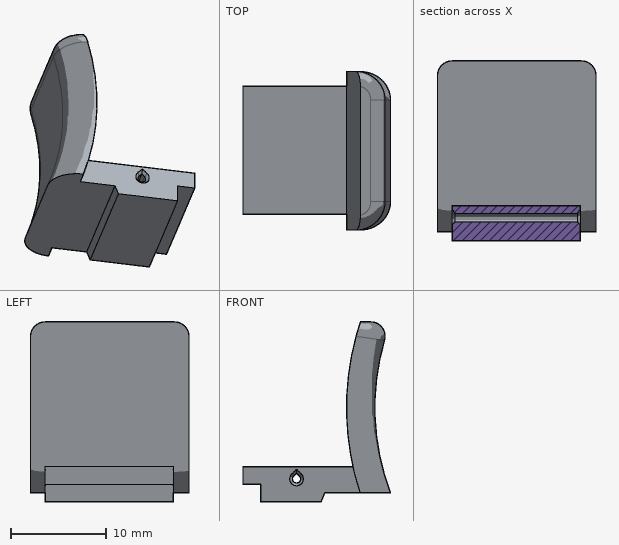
import cadquery as cq
import math

base_width = 13.5
base_offset = 0.05
base_top = 3.7
lip_length = 1.85
lip_bottom = 1.84
keel_end = 8.25
heel_start = 8.62
heel_bottom = 0.93

plate_width = 16.7
plate_thickness = 3.01
plate_front = 10.9
plate_mid_height = 9.91
plate_top = 18.95
inner_radius = 28.42
top_fillet = 1.53

hole_x = 5.65
hole_z = 2.4
hole_radius = 0.42
mouth_radius = 0.72
mouth_depth = mouth_radius - hole_radius

bend_axis_x = plate_front + inner_radius
plate_back = plate_front + plate_thickness


def inner_face_x(z):
    """X of the plate's inner face at height z."""
    return bend_axis_x - math.sqrt(inner_radius**2 - (z - plate_mid_height) ** 2)


def make_plate():
    """Bend a section with quarter-round back corners, trim it and round its top."""
    half_width = plate_width / 2
    flat_half = half_width - plate_thickness
    diagonal = plate_thickness * math.sqrt(0.5)
    section = (
        cq.Workplane("XY", origin=(0, 0, plate_mid_height))
        .moveTo(plate_front, -half_width)
        .threePointArc((plate_front + diagonal, -flat_half - diagonal), (plate_back, -flat_half))
        .lineTo(plate_back, flat_half)
        .threePointArc((plate_front + diagonal, flat_half + diagonal), (plate_front, half_width))
        .close()
    )
    band = section.revolve(360, (bend_axis_x, 0, 0), (bend_axis_x, 1, 0))
    trim = cq.Workplane("XY", origin=(0, 0, heel_bottom)).box(
        bend_axis_x, plate_width, plate_top - heel_bottom, centered=(False, True, False)
    )
    plate = band.intersect(trim)
    inner_edge = cq.selectors.NearestToPointSelector((inner_face_x(plate_top), 0, plate_top))
    rounded_edges = plate.faces(">Z").edges(cq.selectors.InverseSelector(inner_edge))
    return rounded_edges.fillet(top_fillet)


def make_base():
    """Stepped tongue whose end follows the inner face of the plate."""
    mid_z = (base_top + heel_bottom) / 2
    return (
        cq.Workplane("XZ")
        .moveTo(0, base_top)
        .lineTo(0, lip_bottom)
        .lineTo(lip_length, lip_bottom)
        .lineTo(lip_length, 0)
        .lineTo(keel_end, 0)
        .lineTo(heel_start, heel_bottom)
        .lineTo(inner_face_x(heel_bottom), heel_bottom)
        .threePointArc((inner_face_x(mid_z), mid_z), (inner_face_x(base_top), base_top))
        .close()
        .extrude(base_width / 2, both=True)
    )


def add_teardrop(plane, radius):
    """Draw a circle topped by a right-angled point."""
    shoulder = radius * math.sqrt(0.5)
    return (
        plane.moveTo(-shoulder, shoulder)
        .threePointArc((0, -radius), (shoulder, shoulder))
        .lineTo(0, 2 * shoulder)
        .close()
    )


def make_cross_hole():
    """Through hole along Y, widening at both side faces."""
    front = cq.Workplane("XZ", origin=(hole_x, -base_width / 2, hole_z))
    hole = add_teardrop(front, hole_radius).extrude(-base_width)
    mouth = add_teardrop(front, mouth_radius)
    mouth = add_teardrop(mouth.workplane(offset=-mouth_depth), hole_radius).loft(ruled=True)
    return hole.union(mouth).union(mouth.mirror("XZ"))


base = make_base().cut(make_cross_hole()).translate((0, base_offset, 0))
result = base.union(make_plate())